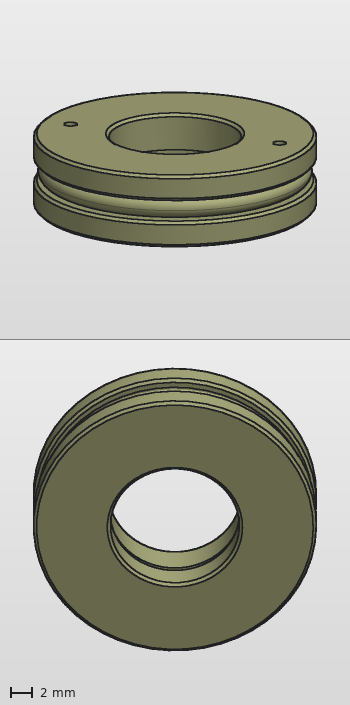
import cadquery as cq

outer_radius = 13.15
height = 7.0
edge_chamfer = 0.3
seal_groove_width = 2.0
seal_groove_radius = 22.2 / 2
flange_thickness = (height - seal_groove_width) / 2

upper_bore_radius = 12.3 / 2
lower_bore_radius = 12.0 / 2
relief_radius = 13.8 / 2
relief_top = height / 2
relief_width = 0.8
relief_bottom = relief_top - relief_width
bore_chamfer = 0.3

pin_hole_diameter = 1.2
pin_hole_depth = flange_thickness
pin_hole_offset = 10.15

ring_section_radius = 0.9
ring_outer_radius = 12.75


def make_carrier():
    """Flanged ring, revolved about Z, with its base at Z = 0."""
    groove_bottom = flange_thickness
    groove_top = height - flange_thickness
    rim_radius = outer_radius - edge_chamfer
    profile = [
        (lower_bore_radius + bore_chamfer, 0),
        (lower_bore_radius, bore_chamfer),
        (lower_bore_radius, relief_bottom),
        (relief_radius, relief_bottom),
        (relief_radius, relief_top),
        (upper_bore_radius, relief_top),
        (upper_bore_radius, height - bore_chamfer),
        (upper_bore_radius + bore_chamfer, height),
        (rim_radius, height),
        (outer_radius, height - edge_chamfer),
        (outer_radius, groove_top + edge_chamfer),
        (rim_radius, groove_top),
        (seal_groove_radius, groove_top),
        (seal_groove_radius, groove_bottom),
        (rim_radius, groove_bottom),
        (outer_radius, groove_bottom - edge_chamfer),
        (outer_radius, edge_chamfer),
        (rim_radius, 0),
    ]
    body = cq.Workplane("XZ").polyline(profile).close().revolve(360, (0, 0), (0, 1))
    pin_holes = (
        cq.Workplane("XY")
        .workplane(offset=height - pin_hole_depth)
        .pushPoints([(-pin_hole_offset, 0), (pin_hole_offset, 0)])
        .circle(pin_hole_diameter / 2)
        .extrude(pin_hole_depth)
    )
    return body.cut(pin_holes)


def make_seal_ring():
    """Round-section ring, centred in the groove and flattened where it seats on the groove floor."""
    centre_radius = ring_outer_radius - ring_section_radius
    ring = (
        cq.Workplane("XZ")
        .center(centre_radius, height / 2)
        .circle(ring_section_radius)
        .revolve(360, (-centre_radius, 0), (-centre_radius, 1))
    )
    groove_core = cq.Workplane("XY").circle(seal_groove_radius).extrude(height)
    return ring.cut(groove_core)


carrier = make_carrier()
seal_ring = make_seal_ring()

result = cq.Compound.makeCompound([carrier.val(), seal_ring.val()])